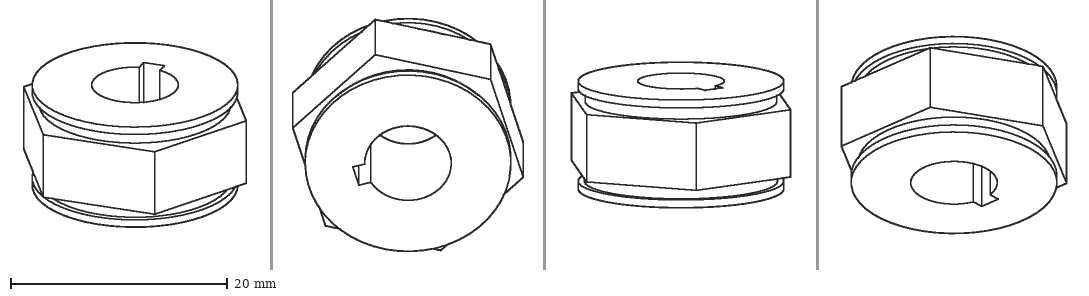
import cadquery as cq
import math

corner_width = 22.0
total_height = 10.16
hex_height = 6.34
flange_thickness = 0.75
upper_groove_diameter = 17.78
lower_groove_diameter = 17.89
bore_diameter = 8.0
keyway_width = 2.05
keyway_reach = 5.02

flange_diameter = corner_width * math.cos(math.pi / 6)
groove_height = (total_height - hex_height) / 2 - flange_thickness


def disc(diameter, height, base):
    """Solid cylinder about Z standing on the given level."""
    return cq.Workplane("XY").workplane(offset=base).circle(diameter / 2).extrude(height)


body = (
    cq.Workplane("XY")
    .workplane(offset=-hex_height / 2)
    .polygon(6, corner_width)
    .extrude(hex_height)
)

upper_groove_base = hex_height / 2
lower_groove_base = -hex_height / 2 - groove_height
body = body.union(disc(upper_groove_diameter, groove_height, upper_groove_base))
body = body.union(disc(lower_groove_diameter, groove_height, lower_groove_base))
body = body.union(disc(flange_diameter, flange_thickness, total_height / 2 - flange_thickness))
body = body.union(disc(flange_diameter, flange_thickness, -total_height / 2))

bore = disc(bore_diameter, total_height, -total_height / 2)
keyway = (
    cq.Workplane("XY")
    .box(keyway_width, keyway_reach, total_height)
    .translate((0, keyway_reach / 2, 0))
)

result = body.cut(bore).cut(keyway)